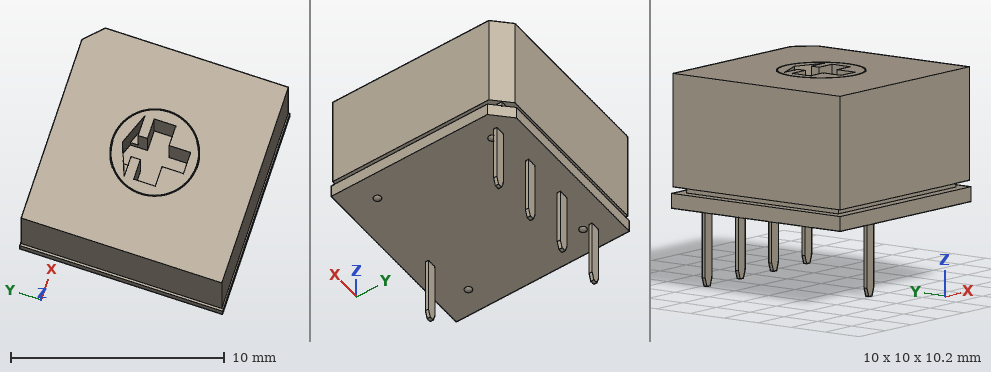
import cadquery as cq

TOTAL_HEIGHT = 10.15
BASE_SIDE = 10.0
BASE_HEIGHT = 0.71
NECK_SIDE = 8.98
NECK_HEIGHT = 0.3
BODY_SIDE = 9.9
BODY_HEIGHT = 5.4
BASE_CHAMFER = 0.97
BODY_CHAMFER = BASE_CHAMFER - (BASE_SIDE - BODY_SIDE)
NECK_BOTTOM = BASE_HEIGHT
BODY_BOTTOM = NECK_BOTTOM + NECK_HEIGHT
TOP = BODY_BOTTOM + BODY_HEIGHT

PIN_PITCH = 2.54
ROW_SPACING = 3 * PIN_PITCH
PIN_LENGTH = TOTAL_HEIGHT - TOP
PIN_WIDTH = 0.53
PIN_THICKNESS = 0.18
PIN_TIP_WIDTH = 0.24
PIN_TIP_LENGTH = 0.42
REAR_PIN_STEPS = (-1.5, -0.5, 0.5, 1.5)
FRONT_PIN_STEPS = (-0.5,)

BUMP_X = 3.63
BUMP_Y = 3.31
BUMP_DIAMETER = 0.41
BUMP_HEIGHT = 0.08

ROTOR_DIAMETER = 4.1
ROTOR_HOLE_DIAMETER = 4.2
RING_DEPTH = 0.51
SLOT_WIDTH = 1.07
SLOT_LENGTH_X = 3.05
SLOT_LENGTH_Y = 3.19
SLOT_DEPTH = 2.54
ARROW_BASE_Y = 0.99
ARROW_DEPTH = 2.03


def square_block(side, height, bottom):
    return cq.Workplane("XY").workplane(offset=bottom).rect(side, side).extrude(height)


def chamfered_block(side, height, bottom, chamfer):
    """Square block with its +X +Y vertical edge cut off."""
    return square_block(side, height, bottom).edges("|Z and >(1, 1, 0)").chamfer(chamfer)


def make_housing():
    base = chamfered_block(BASE_SIDE, BASE_HEIGHT, 0, BASE_CHAMFER)
    neck = square_block(NECK_SIDE, NECK_HEIGHT, NECK_BOTTOM)
    body = chamfered_block(BODY_SIDE, BODY_HEIGHT, BODY_BOTTOM, BODY_CHAMFER)
    return base.union(neck).union(body)


def make_pin(x, y):
    """Flat pin hanging below the base, its width tapering at the tip."""
    half_width = PIN_WIDTH / 2
    half_tip = PIN_TIP_WIDTH / 2
    taper_start = PIN_TIP_LENGTH - PIN_LENGTH
    outline = [
        (-half_width, 0),
        (-half_width, taper_start),
        (-half_tip, -PIN_LENGTH),
        (half_tip, -PIN_LENGTH),
        (half_width, taper_start),
        (half_width, 0),
    ]
    pin = cq.Workplane("XZ").polyline(outline).close().extrude(PIN_THICKNESS / 2, both=True)
    return pin.translate((x, y, 0))


def make_bumps():
    """Four shallow spherical caps near the corners of the underside."""
    radius = BUMP_DIAMETER / 2
    sphere_radius = (radius**2 + BUMP_HEIGHT**2) / (2 * BUMP_HEIGHT)
    centers = [(x, y, sphere_radius - BUMP_HEIGHT) for x in (-BUMP_X, BUMP_X) for y in (-BUMP_Y, BUMP_Y)]
    return cq.Workplane("XY").pushPoints(centers).sphere(sphere_radius)


def cut_rotor(part):
    top = cq.Workplane("XY").workplane(offset=TOP)
    ring = top.circle(ROTOR_HOLE_DIAMETER / 2).circle(ROTOR_DIAMETER / 2).extrude(-RING_DEPTH)
    slot_x = top.rect(SLOT_LENGTH_X, SLOT_WIDTH).extrude(-SLOT_DEPTH)

    half_slot = SLOT_WIDTH / 2
    arm_end = SLOT_LENGTH_Y / 2
    arrow_tip = (0, arm_end)
    shoulder_y = arm_end - (arm_end - ARROW_BASE_Y) * SLOT_WIDTH / SLOT_LENGTH_X
    slot_y_outline = [
        (-half_slot, -arm_end),
        (half_slot, -arm_end),
        (half_slot, shoulder_y),
        arrow_tip,
        (-half_slot, shoulder_y),
    ]
    slot_y = top.polyline(slot_y_outline).close().extrude(-SLOT_DEPTH)

    half_base = SLOT_LENGTH_X / 2
    arrow_outline = [(-half_base, ARROW_BASE_Y), (half_base, ARROW_BASE_Y), arrow_tip]
    arrow = top.polyline(arrow_outline).close().extrude(-ARROW_DEPTH)
    return part.cut(ring).cut(slot_x).cut(slot_y).cut(arrow)


result = cut_rotor(make_housing())
for row_y, steps in ((ROW_SPACING / 2, REAR_PIN_STEPS), (-ROW_SPACING / 2, FRONT_PIN_STEPS)):
    for step in steps:
        result = result.union(make_pin(step * PIN_PITCH, row_y))
result = result.union(make_bumps())